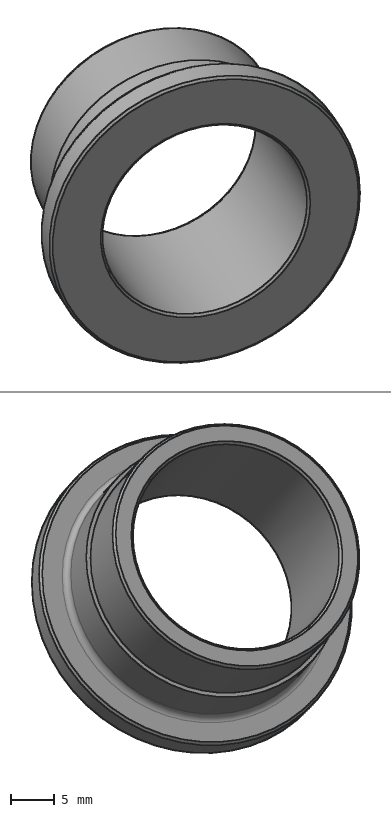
import cadquery as cq

total_length = 19.5
flange_thickness = 3.5
flange_diameter = 38.0
sleeve_diameter = 30.0
sleeve_length = 9.0
shoulder_diameter = 31.0
bore_diameter = 25.0
neck_fillet = 0.8
edge_chamfer = 0.3

flange_start = total_length - flange_thickness

innermost_edge = cq.selectors.RadiusNthSelector(0)


def cylinder(diameter, start, end):
    """Solid cylinder along X between two axial positions."""
    return cq.Workplane("YZ", origin=(start, 0, 0)).circle(diameter / 2).extrude(end - start)


sleeve = cylinder(sleeve_diameter, 0, sleeve_length).faces("<X").edges().chamfer(edge_chamfer)

shoulder = cylinder(shoulder_diameter, sleeve_length, flange_start)

flange = cylinder(flange_diameter, flange_start, total_length).edges("%CIRCLE").chamfer(edge_chamfer)

body = shoulder.union(flange)
body = body.edges(cq.selectors.BoxSelector(
    (flange_start - edge_chamfer / 2, -shoulder_diameter, -shoulder_diameter),
    (flange_start + edge_chamfer / 2, shoulder_diameter, shoulder_diameter),
)).edges(innermost_edge).fillet(neck_fillet)
body = body.union(sleeve)

bore = cylinder(bore_diameter, 0, total_length)
result = body.cut(bore)
for end_face in ("<X", ">X"):
    result = result.faces(end_face).edges(innermost_edge).chamfer(edge_chamfer)